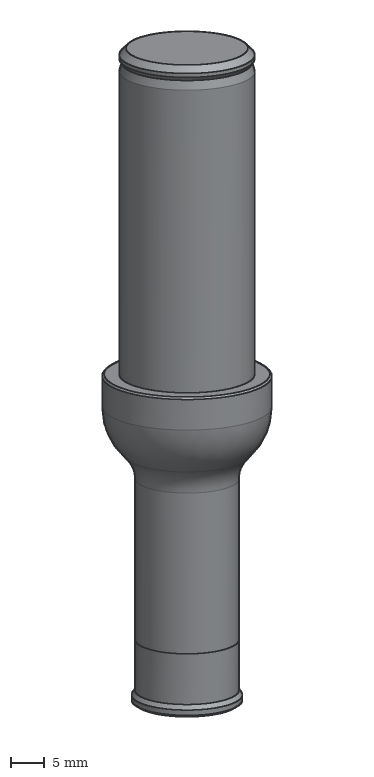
import cadquery as cq
import math

total_height = 101.0
tip_height = 10.3
collar_bottom = 46.1
collar_top = 51.0

shank_radius = 20.0 / 2
collar_radius = 25.0 / 2
stem_radius = 15.4 / 2

shank_chamfer = 1.0
groove_top = 99.4
groove_root = 98.8
groove_bottom = 97.5
groove_depth = 0.4

collar_chamfer = 0.3
bell_radius = 10.0
stem_fillet_radius = 5.0

lip_radius = 8.2
lip_flare_top = 2.5
lip_flare_bottom = 1.8
lip_lower_edge = 1.0
dome_radius = 7.6
dome_height = 0.6


def make_holder():
    """Revolve the shank, collar, bell and upper stem as one body."""
    bell_drop_angle = math.acos(1 - (collar_radius - stem_radius) / (bell_radius + stem_fillet_radius))

    def bell_point(angle):
        return (
            collar_radius - bell_radius * (1 - math.cos(angle)),
            collar_bottom - bell_radius * math.sin(angle),
        )

    bell_end = bell_point(bell_drop_angle)
    fillet_bottom = collar_bottom - (bell_radius + stem_fillet_radius) * math.sin(bell_drop_angle)

    def fillet_point(angle):
        return (
            stem_radius + stem_fillet_radius * (1 - math.cos(angle)),
            fillet_bottom + stem_fillet_radius * math.sin(angle),
        )

    profile = (
        cq.Workplane("XZ")
        .moveTo(0, tip_height)
        .lineTo(stem_radius, tip_height)
        .lineTo(stem_radius, fillet_bottom)
        .threePointArc(fillet_point(bell_drop_angle / 2), bell_end)
        .threePointArc(bell_point(bell_drop_angle / 2), (collar_radius, collar_bottom))
        .lineTo(collar_radius, collar_top - collar_chamfer)
        .lineTo(collar_radius - collar_chamfer, collar_top)
        .lineTo(shank_radius, collar_top)
        .lineTo(shank_radius, groove_bottom)
        .lineTo(shank_radius - groove_depth, groove_root)
        .lineTo(shank_radius, groove_top)
        .lineTo(shank_radius, total_height - shank_chamfer)
        .lineTo(shank_radius - shank_chamfer, total_height)
        .lineTo(0, total_height)
        .close()
    )
    return profile.revolve(360, (0, 0, 0), (0, 1, 0))


def make_tip():
    """Revolve the end piece with its lip and domed face."""
    dome_sphere_radius = (dome_radius**2 + dome_height**2) / (2 * dome_height)
    mid_radius = dome_radius / 2
    mid_height = dome_sphere_radius - math.sqrt(dome_sphere_radius**2 - mid_radius**2)

    profile = (
        cq.Workplane("XZ")
        .moveTo(0, 0)
        .threePointArc((mid_radius, mid_height), (dome_radius, dome_height))
        .lineTo(lip_radius, lip_lower_edge)
        .lineTo(lip_radius, lip_flare_bottom)
        .lineTo(stem_radius, lip_flare_top)
        .lineTo(stem_radius, tip_height)
        .lineTo(0, tip_height)
        .close()
    )
    return profile.revolve(360, (0, 0, 0), (0, 1, 0))


holder = make_holder()
tip = make_tip()

result = cq.Compound.makeCompound([holder.val(), tip.val()])